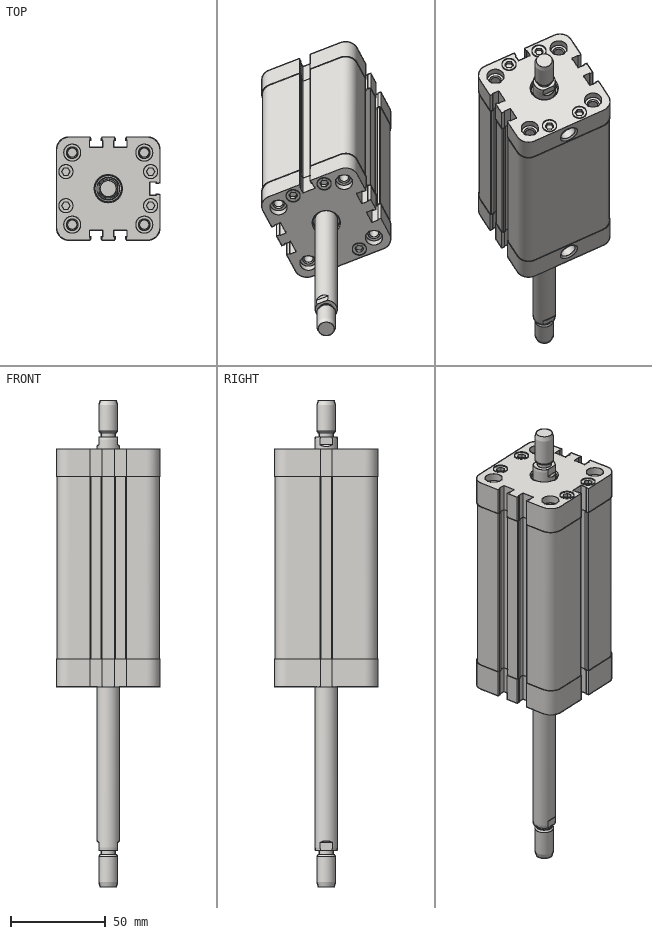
import cadquery as cq
import math

total_length = 257.0
cap_width = 54.7
cap_height = 14.6
cap_corner_radius = 6.7
body_bottom = 105.5
body_top = 231.3
barrel_width = 54.2
barrel_bottom = body_bottom + cap_height
barrel_top = body_top - cap_height

slot_depth = 5.5
slot_width = 7.0
slot_lip = 1.8
slot_offset = 6.5
cap_slot_opening = 6.2
barrel_slot_opening = 5.5
barrel_slot_bevel = 0.5

rod_diameter = 12.0
rod_edge_inset = 0.3
rod_edge_length = 1.5
wrench_flat_width = 10.0
wrench_flat_length = 4.0
stud_length = 19.3
stud_diameter = 10.0
stud_tip_diameter = 8.5
stud_tip_length = 2.5
stud_root_taper = 1.0
neck_diameter = 7.5
neck_length = 3.0

rod_bore_diameter = 14.0
rod_countersink_diameter = 15.0
rod_countersink_depth = 1.0

mount_offset = 19.0
mount_counterbore_diameter = 9.0
mount_counterbore_depth = 4.0
mount_hole_diameter = 5.0
mount_countersink_diameter = 6.2
mount_hole_depth = 11.5

screw_x = 22.4
screw_y = 9.0
screw_head_diameter = 7.5
screw_head_recess = 0.5
screw_socket_flats = 3.9
screw_socket_depth = 2.5

port_from_end = 8.2
port_rim_diameter = 10.3
port_diameter = 8.5

core_diameter = 40.0
core_end_cover = 2.5


def cone(bottom_diameter, top_diameter, bottom, height):
    """Cone along Z between two heights."""
    return cq.Workplane(
        cq.Solid.makeCone(bottom_diameter / 2, top_diameter / 2, height, cq.Vector(0, 0, bottom))
    )


def slot_cutter(face, opening, bevel, bottom, height):
    """T-slot cutter for the +Y face at the given distance, with a bevelled mouth, open past the face."""
    floor = cap_width / 2 - slot_depth
    overshoot = 2.5
    half_mouth = opening / 2
    right_side = [
        (slot_width / 2, floor),
        (slot_width / 2, face - slot_lip),
        (half_mouth, face - slot_lip),
    ]
    if bevel > 0:
        right_side += [(half_mouth, face - bevel), (half_mouth + bevel, face)]
    right_side.append((half_mouth + bevel, face + overshoot))
    left_side = [(-x, y) for x, y in reversed(right_side)]
    return cq.Workplane("XY", origin=(0, 0, bottom)).polyline(right_side + left_side).close().extrude(height)


def slotted_block(width, opening, bevel, bottom, height):
    """Square block with rounded corners and the five sensor slots."""
    block = (
        cq.Workplane("XY", origin=(0, 0, bottom))
        .rect(width, width)
        .extrude(height)
        .edges("|Z")
        .fillet(cap_corner_radius)
    )
    cutter = slot_cutter(width / 2, opening, bevel, bottom, height)
    for turn in (0, 180):
        side = cutter.rotate((0, 0, 0), (0, 0, 1), turn)
        for x in (-slot_offset, slot_offset):
            block = block.cut(side.translate((x, 0, 0)))
    return block.cut(cutter.rotate((0, 0, 0), (0, 0, 1), -90))


def cut_mount_holes(cap):
    """Counterbored and countersunk blind holes in the four corners of the outer face."""
    floor = body_top - mount_counterbore_depth
    chamfer = (mount_countersink_diameter - mount_hole_diameter) / 2
    counterbore = cq.Workplane("XY", origin=(0, 0, floor)).circle(mount_counterbore_diameter / 2)
    hole = cq.Workplane("XY", origin=(0, 0, body_top - mount_hole_depth)).circle(mount_hole_diameter / 2)
    cutter = (
        counterbore.extrude(mount_counterbore_depth)
        .union(hole.extrude(mount_hole_depth))
        .union(cone(mount_hole_diameter, mount_countersink_diameter, floor - chamfer, chamfer))
    )
    for x in (-mount_offset, mount_offset):
        for y in (-mount_offset, mount_offset):
            cap = cap.cut(cutter.translate((x, y, 0)))
    return cap


def cut_screw_heads(cap):
    """Sunken round head with a hexagon socket for each of the four cap screws."""
    recess = (
        cq.Workplane("XY", origin=(0, 0, body_top - screw_head_recess))
        .circle(screw_head_diameter / 2)
        .extrude(screw_head_recess)
    )
    socket = (
        cq.Workplane("XY", origin=(0, 0, body_top - screw_socket_depth))
        .polygon(6, screw_socket_flats / math.cos(math.pi / 6))
        .extrude(screw_socket_depth)
    )
    cutter = recess.union(socket)
    for x in (-screw_x, screw_x):
        for y in (-screw_y, screw_y):
            cap = cap.cut(cutter.translate((x, y, 0)))
    return cap


def cut_port(cap):
    """Chamfered air port from the -X face to the core."""
    chamfer = (port_rim_diameter - port_diameter) / 2
    start = cq.Vector(-cap_width / 2, 0, body_top - port_from_end)
    inward = cq.Vector(1, 0, 0)
    bore = cq.Solid.makeCylinder(port_diameter / 2, cap_width / 2, start, inward)
    rim = cq.Solid.makeCone(port_rim_diameter / 2, port_diameter / 2, chamfer, start, inward)
    return cap.cut(cq.Workplane(bore)).cut(cq.Workplane(rim))


def cut_rod_bore(cap):
    """Through bore for the rod with a countersink in the outer face."""
    bore = cq.Workplane("XY", origin=(0, 0, barrel_top)).circle(rod_bore_diameter / 2).extrude(cap_height)
    rim = cone(
        rod_bore_diameter, rod_countersink_diameter, body_top - rod_countersink_depth, rod_countersink_depth
    )
    return cap.cut(bore).cut(rim)


def make_top_cap():
    """End cap with its outer face on top."""
    cap = slotted_block(cap_width, cap_slot_opening, 0, barrel_top, cap_height)
    cap = cut_mount_holes(cap)
    cap = cut_screw_heads(cap)
    cap = cut_port(cap)
    cap = cut_rod_bore(cap)
    return cap.cut(core_blank())


def core_blank():
    """Solid cylinder with the outer size of the core."""
    bottom = body_bottom + core_end_cover
    return (
        cq.Workplane("XY", origin=(0, 0, bottom))
        .circle(core_diameter / 2)
        .extrude(body_top - core_end_cover - bottom)
    )


def make_core():
    """Cylindrical core with a bore that fits the rod."""
    rod_bore = cq.Workplane("XY").circle(rod_diameter / 2).extrude(total_length)
    return core_blank().cut(rod_bore)


def make_barrel():
    """Profile barrel with a bore that fits the core."""
    height = barrel_top - barrel_bottom
    barrel = slotted_block(barrel_width, barrel_slot_opening, barrel_slot_bevel, barrel_bottom, height)
    return barrel.cut(core_blank())


def wrench_flat_cutter(shoulder):
    """Cutter for the +X wrench flat, which runs out of the rod on a 45 degree ramp."""
    inner = wrench_flat_width / 2
    outer = rod_diameter
    start = shoulder - wrench_flat_length
    profile = [(inner, shoulder), (inner, start), (outer, start - (outer - inner)), (outer, shoulder)]
    return cq.Workplane("XZ").polyline(profile).close().extrude(rod_diameter / 2, both=True)


def make_rod():
    """Through rod with an identical threaded stud and wrench flats at each end."""
    middle = total_length / 2
    shoulder = total_length - stud_length
    stud_root = shoulder + neck_length
    half_outline = [
        (0, middle),
        (rod_diameter / 2, middle),
        (rod_diameter / 2, shoulder - rod_edge_length),
        (rod_diameter / 2 - rod_edge_inset, shoulder),
        (neck_diameter / 2, shoulder),
        (neck_diameter / 2, stud_root - stud_root_taper),
        (stud_tip_diameter / 2, stud_root - stud_root_taper),
        (stud_diameter / 2, stud_root),
        (stud_diameter / 2, total_length - stud_tip_length),
        (stud_tip_diameter / 2, total_length),
        (0, total_length),
    ]
    half = cq.Workplane("XZ").polyline(half_outline).close().revolve(360, (0, 0, 0), (0, 1, 0))
    for turn in (0, 180):
        half = half.cut(wrench_flat_cutter(shoulder).rotate((0, 0, 0), (0, 0, 1), turn))
    return half.union(half.mirror("XY", (0, 0, middle)))


top_cap = make_top_cap()
bottom_cap = top_cap.mirror("XY", (0, 0, (body_bottom + body_top) / 2))
barrel = make_barrel()
rod = make_rod()
core = make_core()

result = cq.Compound.makeCompound([barrel.val(), top_cap.val(), bottom_cap.val(), core.val(), rod.val()])